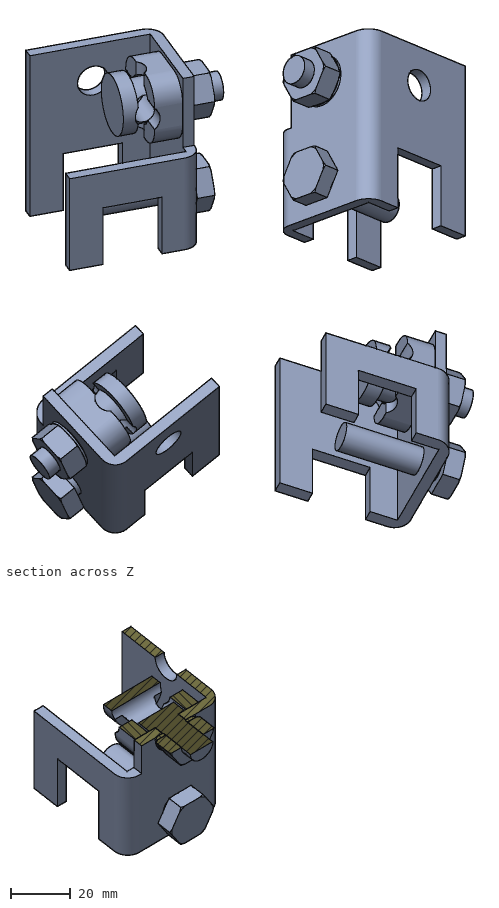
import cadquery as cq
import math


bracket_width = 43.0
bracket_depth = 47.0
bracket_height = 62.0
sheet = 4.0
bend_radius = 5.95
low_wall_height = 35.4
web_top_width = 36.0
foot_depth = 11.95
slot_depth = 21.0
slot_height = 21.9
side_hole_diameter = 11.05
side_hole_y = 22.55

upper_axis_z = 48.0
lower_axis_z = 11.85
shank_diameter = 10.0
web_inner_y = bracket_depth - sheet
nut_end_y = 56.3

block_width = 28.3
block_height = 25.0
block_depth = 10.0
block_corner = 8.2
groove_radius = 5.0
groove_rise = 2.0
neck_hole_diameter = 16.85

eye_head_diameter = 21.6
eye_head_front_y = 23.05
eye_head_thickness = 5.5
neck_diameter = 15.75
bore_diameter = 10.15
bore_y = 32.5
eye_bolt_end_y = 61.0

across_flats = 17.0
chamfer_diameter = 18.2
chamfer_angle = 30.0

washer_thickness = 1.3
washer_rim_height = 0.55
washer_seat_diameter = 15.0
washer_rim_diameter = 18.0
washer_top_diameter = 17.6

lower_head_thickness = 6.4
lower_bolt_tip_y = 14.75


def rod(diameter, start_y, end_y, axis_z):
    """Round bar along Y on the axis X = 0, Z = axis_z."""
    plane = cq.Workplane("XZ", origin=(0, start_y, axis_z))
    return plane.circle(diameter / 2).extrude(start_y - end_y)


def chamfered_hexagon(start_y, end_y, axis_z, chamfer_start):
    """Hexagonal bar along Y, corners on +X and -X, with conical chamfers on its end corners."""
    across_corners = across_flats / math.cos(math.pi / 6)
    plane = cq.Workplane("XZ", origin=(0, start_y, axis_z))
    hexagon = plane.polygon(6, across_corners).extrude(start_y - end_y)
    corner_cut = (across_corners - chamfer_diameter) / 2
    chamfer_height = corner_cut * math.tan(math.radians(chamfer_angle))
    envelope = rod(across_corners, start_y, end_y, axis_z)
    chamfered_faces = ["<Y", ">Y"] if chamfer_start else [">Y"]
    for face in chamfered_faces:
        envelope = envelope.faces(face).edges().chamfer(chamfer_height, corner_cut)
    return hexagon.intersect(envelope)


def make_bracket():
    half_width = bracket_width / 2
    outside = (
        cq.Workplane("XY")
        .rect(bracket_width, bracket_depth)
        .extrude(bracket_height)
        .translate((0, bracket_depth / 2, 0))
        .edges("|Z and >Y")
        .fillet(bend_radius)
    )
    inside = (
        cq.Workplane("XY")
        .rect(bracket_width - 2 * sheet, web_inner_y)
        .extrude(bracket_height)
        .translate((0, web_inner_y / 2, 0))
    )
    corner_cut = cq.Workplane("XY").box(
        bracket_width - web_top_width, bracket_depth, bracket_height - low_wall_height, centered=False
    ).translate((web_top_width - half_width, 0, low_wall_height))
    foot_slot = cq.Workplane("XY").box(
        bracket_width, slot_depth, slot_height, centered=False
    ).translate((-half_width, foot_depth, 0))
    side_hole = (
        cq.Workplane("YZ", origin=(-half_width, side_hole_y, upper_axis_z))
        .circle(side_hole_diameter / 2)
        .extrude(sheet)
    )
    bracket = outside.cut(inside).cut(corner_cut).cut(foot_slot).cut(side_hole)
    for axis_z in (upper_axis_z, lower_axis_z):
        bracket = bracket.cut(rod(shank_diameter, web_inner_y, bracket_depth, axis_z))
    return bracket


def make_clamp_block():
    face_y = web_inner_y - block_depth
    block = (
        cq.Workplane("XZ", origin=(0, web_inner_y, upper_axis_z))
        .rect(block_width, block_height)
        .extrude(block_depth)
        .edges("|Y")
        .fillet(block_corner)
    )
    groove_y = face_y + groove_rise - groove_radius
    groove_along_x = (
        cq.Workplane("YZ", origin=(0, groove_y, upper_axis_z))
        .circle(groove_radius)
        .extrude(block_width, both=True)
    )
    groove_along_z = (
        cq.Workplane("XY", origin=(0, groove_y, upper_axis_z))
        .circle(groove_radius)
        .extrude(block_height, both=True)
    )
    neck_hole = rod(neck_hole_diameter, face_y, web_inner_y, upper_axis_z)
    return block.cut(groove_along_x).cut(groove_along_z).cut(neck_hole)


def make_eye_bolt():
    head_back_y = eye_head_front_y + eye_head_thickness
    head = rod(eye_head_diameter, eye_head_front_y, head_back_y, upper_axis_z)
    neck = rod(neck_diameter, head_back_y, web_inner_y, upper_axis_z)
    shank = rod(shank_diameter, web_inner_y, eye_bolt_end_y, upper_axis_z)
    bore = (
        cq.Workplane("YZ", origin=(0, bore_y, upper_axis_z))
        .circle(bore_diameter / 2)
        .extrude(eye_head_diameter, both=True)
    )
    return head.union(neck).union(shank).cut(bore)


def make_washer():
    hole_radius = shank_diameter / 2
    profile = [
        (hole_radius, 0),
        (washer_seat_diameter / 2, 0),
        (washer_rim_diameter / 2, washer_rim_height),
        (washer_top_diameter / 2, washer_thickness),
        (hole_radius, washer_thickness),
    ]
    washer = cq.Workplane("XY").polyline(profile).close().revolve(360, (0, 0), (0, 1))
    return washer.translate((0, bracket_depth, upper_axis_z))


def make_nut():
    nut_start_y = bracket_depth + washer_thickness
    nut = chamfered_hexagon(nut_start_y, nut_end_y, upper_axis_z, chamfer_start=True)
    return nut.cut(rod(shank_diameter, nut_start_y, nut_end_y, upper_axis_z))


def make_lower_bolt():
    head_start_y = nut_end_y - lower_head_thickness
    head = chamfered_hexagon(head_start_y, nut_end_y, lower_axis_z, chamfer_start=False)
    return head.union(rod(shank_diameter, lower_bolt_tip_y, head_start_y, lower_axis_z))


bracket = make_bracket()
clamp_block = make_clamp_block()
eye_bolt = make_eye_bolt()
washer = make_washer()
nut = make_nut()
lower_bolt = make_lower_bolt()

result = cq.Compound.makeCompound([
    bracket.val(),
    clamp_block.val(),
    eye_bolt.val(),
    washer.val(),
    nut.val(),
    lower_bolt.val(),
])